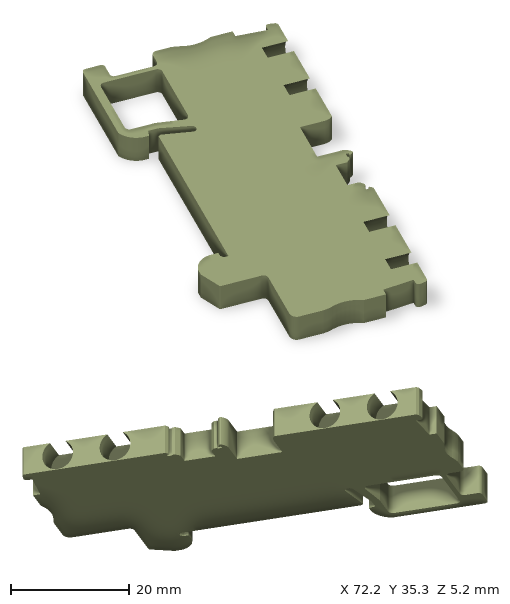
import cadquery as cq
import math

length = 72.2
width = 35.3
thickness = 5.2

left_bottom_y = 12.6
right_bottom_y = 10.4
corner_radius = 0.9
right_corner_radius = 1.3
rail_y = 6.1

shoulder_y = 27.4
shoulder_inset = 1.3
lip_root_inset = 1.8
lip_y = 33.15
lip_inset = 0.3
lip_top_inset = 1.0
lip_bevel_inset = 0.65
lip_bevel_y = 34.95
lip_radius = 0.6

dent_start = (0, 16.1)
dent_blend_middle = (0.15, 17.05)
dent_blend_end = (0.4, 18.0)
dent_middle = (0.8, 20.2)
dent_end = (0, 23.4)

gap_left = 27.0
gap_right = 35.1
gap_floor_y = 29.25
gap_shoulder_y = 33.85
gap_left_flare = (26.8, 34.65)
gap_top_left = 26.35
gap_right_flare = (35.4, 34.65)
gap_top_right = 35.95

recess_left = 38.3
recess_right = 43.75
recess_floor_y = 31.4
recess_wall_y = 33.5
step_outer_left = 36.2
step_outer_right = 45.9
step_y = 34.0
bump_y = 34.2
bump_width = 1.3
bump_flat = 0.6
hook_reach = 0.4
hook_under_y = 34.5
hook_tip_y = 34.8

foot_top_y = 4.05
foot_radius = 0.7
foot_tip_radius = 0.65
web_left = 3.55
foot_toe_start = (17.3, 0)
foot_toe_middle = (18.9, 1.2)
foot_toe_end = (19.85, 4.1)
foot_catch = (19.85, 4.6)

spring_x = 18.6
spring_catch_y = 4.9
spring_knee_y = 6.7
slot_end_y = 12.1
slot_end_left = 20.1
slot_end_right = 21.6
slot_end_middle = (20.95, 12.8)
slot_mouth = (20.3, 6.5)
slot_mouth_end_x = 20.6

window_left = 4.4
window_bottom_y = 1.5
window_right = 17.2
window_knee_y = 6.8
window_top_right = 18.35
window_radius = 0.9

hook_neck_x = 53.4
hook_neck_y = 5.2
hook_catch = (52.85, 4.8)
hook_left = 52.05
hook_side_y = 3.55
hook_round_middle = (52.8, 1.3)
hook_toe_start = 54.9
hook_toe_end = 56.2
leg_right = 60.15
leg_bottom_y = 1.95
leg_radius = 0.35

bore_radius = 2.75
bore_mouth_width = 2.75
bore_floor_width = 0.65
bore_depth = 4.8
bore_insets = (7.1, 17.3)
bore_axis_z = thickness - math.sqrt(bore_radius**2 - (bore_mouth_width / 2) ** 2)
bore_floor_z = bore_axis_z - math.sqrt(bore_radius**2 - (bore_floor_width / 2) ** 2)


def at_corner(x, y):
    """Select the vertical edge standing at a corner of the outline."""
    reach = 0.035
    low = (x - reach, y - reach, 0)
    high = (x + reach, y + reach, thickness)
    return cq.selectors.BoxSelector(low, high)


def round_corners(body, corners, radius):
    """Round the vertical edges at the given corners."""
    for x, y in corners:
        body = body.edges(at_corner(x, y)).fillet(radius)
    return body


def make_body():
    """Housing, rail foot and rail hook in one outline, with plain straight ends."""
    outline = (
        cq.Workplane("XY")
        .moveTo(0, 0)
        .lineTo(0, foot_top_y)
        .lineTo(web_left, foot_top_y)
        .lineTo(web_left, left_bottom_y)
        .lineTo(0, left_bottom_y)
        .lineTo(0, width)
        .lineTo(length, width)
        .lineTo(length, right_bottom_y)
        .lineTo(leg_right, right_bottom_y)
        .lineTo(leg_right, leg_bottom_y)
        .lineTo(hook_toe_end, 0)
        .lineTo(hook_toe_start, 0)
        .threePointArc(hook_round_middle, (hook_left, hook_side_y))
        .lineTo(hook_left, hook_catch[1])
        .lineTo(*hook_catch)
        .lineTo(hook_neck_x, hook_neck_y)
        .lineTo(hook_neck_x, rail_y)
        .lineTo(slot_mouth_end_x, rail_y)
        .lineTo(*slot_mouth)
        .lineTo(slot_end_right, slot_end_y)
        .threePointArc(slot_end_middle, (slot_end_left, slot_end_y))
        .lineTo(spring_x, spring_knee_y)
        .lineTo(spring_x, spring_catch_y)
        .lineTo(*foot_catch)
        .lineTo(*foot_toe_end)
        .threePointArc(foot_toe_middle, foot_toe_start)
        .close()
    )
    body = outline.extrude(thickness)
    housing_corners = [
        (0, left_bottom_y),
        (web_left, left_bottom_y),
        (leg_right, right_bottom_y),
    ]
    body = round_corners(body, housing_corners, corner_radius)
    body = round_corners(body, [(length, right_bottom_y)], right_corner_radius)
    body = round_corners(body, [(0, 0), (web_left, foot_top_y)], foot_radius)
    body = round_corners(body, [(0, foot_top_y)], foot_tip_radius)
    return round_corners(body, [(leg_right, leg_bottom_y)], leg_radius)


def make_window():
    """Opening inside the rail foot, leaning outwards on its spring side."""
    corners = [
        (window_left, window_bottom_y),
        (window_left, left_bottom_y),
        (window_top_right, left_bottom_y),
        (window_right, window_bottom_y),
    ]
    outline = corners[:3] + [(window_right, window_knee_y)] + corners[3:]
    window = cq.Workplane("XY").polyline(outline).close().extrude(thickness)
    return round_corners(window, corners, window_radius)


def make_left_end_cut():
    """Dent, notch and lip shape to remove from the left end."""
    dent = (
        cq.Workplane("XY")
        .moveTo(*dent_start)
        .threePointArc(dent_blend_middle, dent_blend_end)
        .threePointArc(dent_middle, dent_end)
        .close()
        .extrude(thickness)
    )
    notch = (
        cq.Workplane("XY")
        .moveTo(0, shoulder_y)
        .lineTo(shoulder_inset, shoulder_y)
        .lineTo(lip_root_inset, lip_y)
        .lineTo(lip_inset, lip_y)
        .lineTo(lip_bevel_inset, lip_bevel_y)
        .lineTo(lip_top_inset, width)
        .lineTo(0, width)
        .close()
        .extrude(thickness)
    )
    notch = round_corners(notch, [(lip_inset, lip_y)], lip_radius)
    return dent.union(notch)


def make_gap():
    """Wide gap in the top edge, flaring outwards at its mouth."""
    return (
        cq.Workplane("XY")
        .moveTo(gap_left, gap_floor_y)
        .lineTo(gap_left, gap_shoulder_y)
        .threePointArc(gap_left_flare, (gap_top_left, width))
        .lineTo(gap_top_right, width)
        .threePointArc(gap_right_flare, (gap_right, gap_shoulder_y))
        .lineTo(gap_right, gap_floor_y)
        .close()
        .extrude(thickness)
    )


def make_step_cut(outer_x, recess_x):
    """One hooked step of the recess, from its outer wall to the recess wall."""
    inwards = math.copysign(1, recess_x - outer_x)
    hook_x = outer_x + inwards * hook_reach
    bump_x = recess_x - inwards * bump_width
    bump_end_x = bump_x + inwards * bump_flat
    return (
        cq.Workplane("XY")
        .moveTo(outer_x, width)
        .lineTo(hook_x, hook_tip_y)
        .lineTo(hook_x, hook_under_y)
        .lineTo(outer_x, hook_under_y)
        .lineTo(outer_x, step_y)
        .lineTo(bump_x, step_y)
        .lineTo(bump_x, bump_y)
        .lineTo(bump_end_x, bump_y)
        .lineTo(recess_x, recess_wall_y)
        .lineTo(recess_x, width)
        .close()
        .extrude(thickness)
    )


def make_recess():
    """Recess in the top edge together with its two steps."""
    recess = (
        cq.Workplane("XY")
        .moveTo(recess_left, recess_floor_y)
        .lineTo(recess_left, width)
        .lineTo(recess_right, width)
        .lineTo(recess_right, recess_floor_y)
        .close()
        .extrude(thickness)
    )
    left_step = make_step_cut(step_outer_left, recess_left)
    right_step = make_step_cut(step_outer_right, recess_right)
    return recess.union(left_step).union(right_step)


def make_bore(center_x):
    """Round bore along Y with a flat floor just above the bottom face."""
    bore = (
        cq.Workplane("XZ", origin=(center_x, width, 0))
        .center(0, bore_axis_z)
        .circle(bore_radius)
        .extrude(bore_depth)
    )
    below_floor = (
        cq.Workplane("XY", origin=(center_x, width, bore_floor_z))
        .rect(2 * bore_radius, 2 * bore_depth)
        .extrude(-bore_radius)
    )
    return bore.cut(below_floor)


left_end_cut = make_left_end_cut()
right_end_cut = left_end_cut.mirror("YZ").translate((length, 0, 0))

result = make_body().cut(make_window())
result = result.cut(left_end_cut).cut(right_end_cut)
result = result.cut(make_gap()).cut(make_recess())
for inset in bore_insets:
    result = result.cut(make_bore(inset)).cut(make_bore(length - inset))